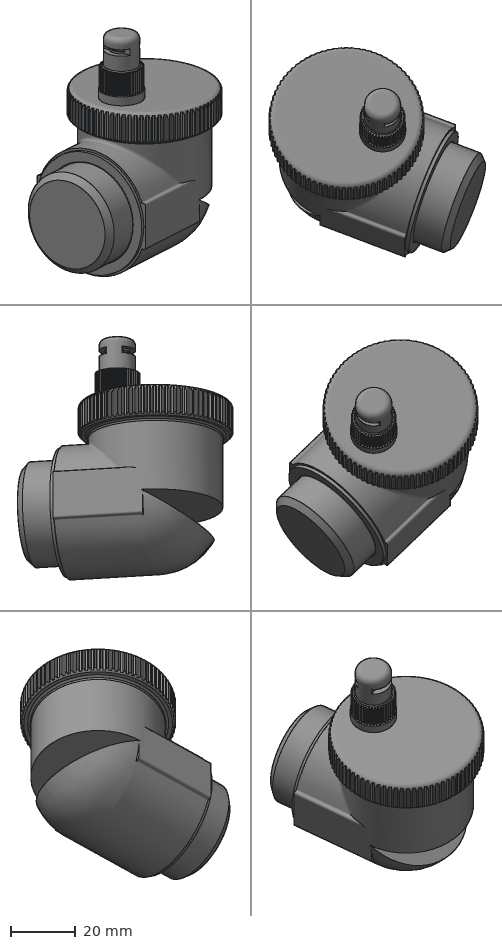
import cadquery as cq
import math


BODY_RADIUS = 20.8
BODY_FRONT = 27.9
HEEL_SWEEP = 60
CREASE_FILLET = 1.0

FLAT_HALF_WIDTH = 20.7
FLAT_HALF_HEIGHT = 7.6
FLAT_BACK = 0.4
FLAT_DEPTH = 5.65
FLAT_EDGE_FILLET = 0.7
FLAT_ROOT_FILLET = 0.45

COLLAR_RADIUS = 20.0
COLLAR_FRONT = 29.1
SPIGOT_RADIUS = 16.4
SPIGOT_FRONT = 40.5
SPIGOT_CHAMFER = 2.0
RELIEF_WIDTH = 0.2
RELIEF_DEPTH = 0.4

CAP_RADIUS = 23.95
CAP_BOTTOM = 23.1
CAP_TOP = 33.1
CAP_TOP_FILLET = 1.95
CAP_BOTTOM_CHAMFER = 1.0
CAP_TEETH = 80
CAP_GROOVE_DEPTH = 0.5
NECK_BOTTOM = 22.0
NECK_MIDDLE = 22.6
NECK_MIDDLE_FLARE = 0.2
NECK_TOP_FLARE = 1.0

CREST_SHARE = 0.26
FLOOR_SHARE = 0.36

STEM_Y = -12.05
STEM_FOOT_RADIUS = 7.15
STEM_FOOT_TOP = 36.1
GRIP_RADIUS = 6.9
GRIP_BOTTOM = 36.3
GRIP_TOP = 43.6
GRIP_TEETH = 44
GRIP_GROOVE_DEPTH = 0.45
STEM_RADIUS = 5.65
STEM_SHOULDER = 0.4
STEM_TOP = 54.5
STEM_TOP_FILLET = 1.95
SLOT_BOTTOM = 49.0
SLOT_HEIGHT = 2.0
SLOT_HALF_WEB = 2.5
CORE_RADIUS = 3.85
CORE_GROOVE_RADIUS = 3.6
CORE_GROOVE_HEIGHT = 0.6


def upright_cylinder(radius, bottom, top, y=0):
    return cq.Workplane("XY", origin=(0, y, bottom)).circle(radius).extrude(top - bottom)


def forward_cylinder(radius, reach):
    """Cylinder along the pipe axis, from the origin toward -Y."""
    return cq.Workplane("XZ").circle(radius).extrude(reach)


def knurled_cylinder(radius, groove_depth, teeth, bottom, top, y=0):
    """Upright cylinder with straight-sided grooves; the middle of a crest lies on +X."""
    def point(distance, step):
        angle = 2 * math.pi * step / teeth
        return (distance * math.cos(angle), distance * math.sin(angle))

    floor_radius = radius - groove_depth
    outline = []
    for tooth in range(teeth):
        outline.append(point(radius, tooth - CREST_SHARE / 2))
        outline.append(point(radius, tooth + CREST_SHARE / 2))
        outline.append(point(floor_radius, tooth + (1 - FLOOR_SHARE) / 2))
        outline.append(point(floor_radius, tooth + (1 + FLOOR_SHARE) / 2))
    return cq.Workplane("XY", origin=(0, y, bottom)).polyline(outline).close().extrude(top - bottom)


def make_pipe():
    """Pipe trimmed to the width of the wrench flats, with a raised pad on each side."""
    trim = cq.Workplane("XY").box(2 * FLAT_HALF_WIDTH, 4 * BODY_RADIUS, 4 * BODY_RADIUS)
    pipe = forward_cylinder(BODY_RADIUS, BODY_FRONT).intersect(trim)

    length = BODY_FRONT + FLAT_BACK
    for side in (-1, 1):
        pad = (
            cq.Workplane("XY")
            .box(FLAT_DEPTH, length, 2 * FLAT_HALF_HEIGHT)
            .translate((side * (FLAT_HALF_WIDTH - FLAT_DEPTH / 2), FLAT_BACK - length / 2, 0))
            .faces(">X" if side > 0 else "<X")
            .edges("|Y")
            .fillet(FLAT_EDGE_FILLET)
        )
        pipe = pipe.union(pad)
    return pipe


def round_pad_roots(pipe):
    """Fill the four corners where the pads rise from the pipe with concave rounds."""
    root_x = math.sqrt(BODY_RADIUS**2 - FLAT_HALF_HEIGHT**2)
    for x in (-root_x, root_x):
        for z in (-FLAT_HALF_HEIGHT, FLAT_HALF_HEIGHT):
            pipe = pipe.edges(cq.NearestToPointSelector((x, -BODY_FRONT / 2, z))).fillet(FLAT_ROOT_FILLET)
    return pipe


def make_body():
    chamber = upright_cylinder(BODY_RADIUS, 0, NECK_BOTTOM)
    pipe = make_pipe()
    body = chamber.union(pipe)

    reach = 2 * BODY_RADIUS
    crease = cq.selectors.BoxSelector(
        (-reach, -BODY_RADIUS, FLAT_HALF_HEIGHT), (reach, 0, BODY_RADIUS)
    )
    body = body.edges("%ELLIPSE").edges(crease).fillet(CREASE_FILLET)
    return body.union(round_pad_roots(pipe)).union(make_heel())


def make_heel():
    """Ball segment: a half disc swept about the X axis, from straight ahead to the heel's rear face."""
    half_disc = (
        cq.Workplane("XY")
        .moveTo(-BODY_RADIUS, 0)
        .threePointArc((0, -BODY_RADIUS), (BODY_RADIUS, 0))
        .close()
    )
    return half_disc.revolve(90 + HEEL_SWEEP, (0, 0, 0), (1, 0, 0))


def make_pipe_end():
    spigot = forward_cylinder(SPIGOT_RADIUS, SPIGOT_FRONT).faces("<Y").chamfer(SPIGOT_CHAMFER)
    relief = (
        cq.Workplane("XZ", origin=(0, -COLLAR_FRONT, 0))
        .circle(SPIGOT_RADIUS + RELIEF_WIDTH)
        .extrude(-RELIEF_DEPTH)
    )
    return forward_cylinder(COLLAR_RADIUS, COLLAR_FRONT).cut(relief).union(spigot)


def make_cap():
    blank = (
        upright_cylinder(CAP_RADIUS, CAP_BOTTOM, CAP_TOP)
        .faces(">Z").edges().fillet(CAP_TOP_FILLET)
        .faces("<Z").edges().chamfer(CAP_BOTTOM_CHAMFER)
    )
    knurl = knurled_cylinder(CAP_RADIUS, CAP_GROOVE_DEPTH, CAP_TEETH, CAP_BOTTOM, CAP_TOP)
    neck = (
        cq.Workplane("XZ")
        .moveTo(0, NECK_BOTTOM)
        .lineTo(BODY_RADIUS, NECK_BOTTOM)
        .lineTo(BODY_RADIUS + NECK_MIDDLE_FLARE, NECK_MIDDLE)
        .lineTo(BODY_RADIUS + NECK_TOP_FLARE, CAP_BOTTOM)
        .lineTo(0, CAP_BOTTOM)
        .close()
        .revolve(360, (0, 0, 0), (0, 1, 0))
    )
    return blank.intersect(knurl).union(neck)


def make_stem():
    foot = upright_cylinder(STEM_FOOT_RADIUS, CAP_TOP, STEM_FOOT_TOP, STEM_Y)
    grip = knurled_cylinder(GRIP_RADIUS, GRIP_GROOVE_DEPTH, GRIP_TEETH, GRIP_BOTTOM, GRIP_TOP, STEM_Y)
    shoulder = (
        upright_cylinder(STEM_RADIUS + STEM_SHOULDER, STEM_FOOT_TOP, GRIP_TOP + STEM_SHOULDER, STEM_Y)
        .faces(">Z").edges().chamfer(STEM_SHOULDER)
    )
    pin = upright_cylinder(STEM_RADIUS, CAP_TOP, STEM_TOP, STEM_Y).faces(">Z").edges().fillet(STEM_TOP_FILLET)

    slot_top = SLOT_BOTTOM + SLOT_HEIGHT
    slots = upright_cylinder(STEM_RADIUS, SLOT_BOTTOM, slot_top, STEM_Y)
    web = (
        cq.Workplane("XY", origin=(0, STEM_Y, SLOT_BOTTOM))
        .rect(4 * STEM_RADIUS, 2 * SLOT_HALF_WEB)
        .extrude(SLOT_HEIGHT)
    )
    core = upright_cylinder(CORE_RADIUS, SLOT_BOTTOM, slot_top, STEM_Y)
    groove_bottom = SLOT_BOTTOM + (SLOT_HEIGHT - CORE_GROOVE_HEIGHT) / 2
    groove = (
        cq.Workplane("XY", origin=(0, STEM_Y, groove_bottom))
        .circle(STEM_RADIUS)
        .circle(CORE_GROOVE_RADIUS)
        .extrude(CORE_GROOVE_HEIGHT)
    )
    slots = slots.cut(core.cut(groove)).cut(web)
    return pin.cut(slots).union(shoulder).union(grip).union(foot)


result = make_body().union(make_pipe_end()).union(make_cap()).union(make_stem())